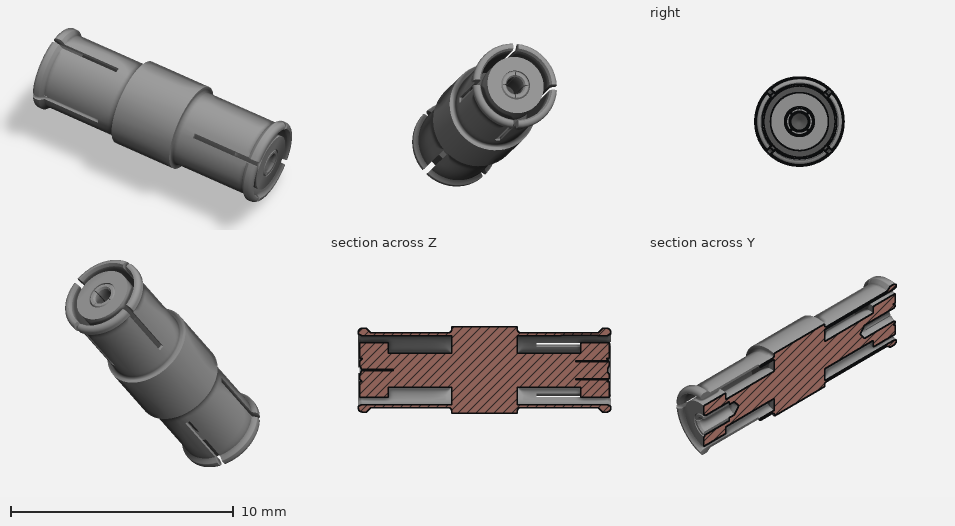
import cadquery as cq
import math

length = 11.35
half_length = length / 2
collar_radius = 2.0
collar_half_length = 1.49

sleeve_radius = 1.75
bore_radius = 1.6
bore_floor = collar_half_length
neck_fillet = 0.1

lip_radius = 1.94
lip_height = lip_radius - sleeve_radius
lip_ramp_end = half_length - 0.38
lip_ramp_angle = 45
lip_ramp_start = lip_ramp_end - lip_height / math.tan(math.radians(lip_ramp_angle))
lip_heel_radius = 0.05
lip_nose_radius = 0.2
lip_nose_start = half_length - lip_nose_radius
lip_face_radius = lip_radius - lip_nose_radius
mouth_radius = 1.68
mouth_chamfer_depth = 0.15

slot_count = 4
slot_width = 0.24
slot_length = 3.35
right_end_turn = 45

core_radius = 0.88
disc_radius = 1.3
disc_inner_face = 4.3
disc_outer_face = 5.6

groove_inner_radius = 0.59
groove_outer_radius = 0.665
groove_depth = 0.1
socket_mouth_radius = 0.46
socket_radius = 0.4
socket_mouth_depth = 0.1
socket_depth = 1.8
socket_tip_angle = 118
slit_width = 0.04
slit_depth = 1.5


def turned(profile):
    """Revolve a closed (x, radius) profile about the X axis."""
    return profile.close().revolve(360, (0, 0, 0), (1, 0, 0))


def collar():
    start = cq.Workplane("YZ").workplane(offset=-collar_half_length)
    return start.circle(collar_radius).extrude(2 * collar_half_length)


def sleeve():
    """Right half of the sleeve: neck fillet, plain barrel, snap lip and bore."""
    diagonal = math.sqrt(0.5)
    nose_diagonal = lip_nose_radius * diagonal
    nose_middle = (lip_nose_start + nose_diagonal, lip_face_radius + nose_diagonal)
    neck_top = sleeve_radius + neck_fillet
    neck_end = collar_half_length + neck_fillet
    neck_middle = (neck_end - neck_fillet * diagonal, neck_top - neck_fillet * diagonal)
    ramp = math.radians(lip_ramp_angle)
    heel_tangent = lip_heel_radius * math.tan(ramp / 2)
    heel_start = (lip_ramp_end - heel_tangent * math.cos(ramp), lip_radius - heel_tangent * math.sin(ramp))
    profile = (
        cq.Workplane("XY")
        .lineTo(0, neck_top)
        .lineTo(collar_half_length, neck_top)
        .threePointArc(neck_middle, (neck_end, sleeve_radius))
        .lineTo(lip_ramp_start, sleeve_radius)
        .lineTo(*heel_start)
        .tangentArcPoint((lip_ramp_end + heel_tangent, lip_radius), relative=False)
        .lineTo(lip_nose_start, lip_radius)
        .threePointArc(nose_middle, (half_length, lip_face_radius))
        .lineTo(half_length, mouth_radius)
        .lineTo(half_length - mouth_chamfer_depth, bore_radius)
        .lineTo(bore_floor, bore_radius)
        .lineTo(bore_floor, 0)
    )
    return turned(profile)


def sleeve_slots():
    """Slots through the sleeve wall only, open at the right end."""
    cutters = cq.Workplane("XY")
    radial_height = collar_radius - disc_radius
    for index in range(slot_count):
        cutter = (
            cq.Workplane("XY")
            .box(slot_length, slot_width, radial_height, centered=(False, True, False))
            .translate((half_length - slot_length, 0, disc_radius))
            .rotate((0, 0, 0), (1, 0, 0), index * 360 / slot_count)
        )
        cutters = cutters.add(cutter)
    return cutters.combine()


def core():
    """Right half of the contact core with its end disc."""
    profile = (
        cq.Workplane("XY")
        .lineTo(0, core_radius)
        .lineTo(disc_inner_face, core_radius)
        .lineTo(disc_inner_face, disc_radius)
        .lineTo(disc_outer_face, disc_radius)
        .lineTo(disc_outer_face, 0)
    )
    return turned(profile)


def contact_groove():
    """V-shaped ring that separates the chamfered contact from the disc."""
    profile = (
        cq.Workplane("XY")
        .moveTo(disc_outer_face, groove_inner_radius)
        .lineTo(disc_outer_face, groove_outer_radius)
        .lineTo(disc_outer_face - groove_depth, groove_outer_radius)
    )
    return turned(profile)


def socket():
    """Countersunk blind hole with a drill-point bottom."""
    floor = disc_outer_face - socket_depth
    tip_depth = socket_radius / math.tan(math.radians(socket_tip_angle / 2))
    profile = (
        cq.Workplane("XY")
        .moveTo(disc_outer_face, 0)
        .lineTo(disc_outer_face, socket_mouth_radius)
        .lineTo(disc_outer_face - socket_mouth_depth, socket_radius)
        .lineTo(floor, socket_radius)
        .lineTo(floor - tip_depth, 0)
    )
    return turned(profile)


def contact_slits():
    """Two crossed slits that split the contact into four fingers."""
    span = 2 * groove_inner_radius
    slit = cq.Workplane("XY").box(slit_depth, span, slit_width)
    crossed = slit.union(slit.rotate((0, 0, 0), (1, 0, 0), 90))
    return crossed.translate((disc_outer_face - slit_depth / 2, 0, 0))


def right_end():
    """One complete end, with slots along +-Y and +-Z."""
    outer = sleeve().cut(sleeve_slots())
    inner = core().cut(contact_groove()).cut(socket()).cut(contact_slits())
    return outer.union(inner)


end = right_end()
left_end = end.rotate((0, 0, 0), (0, 0, 1), 180)
turned_right_end = end.rotate((0, 0, 0), (1, 0, 0), right_end_turn)
result = collar().union(left_end).union(turned_right_end)